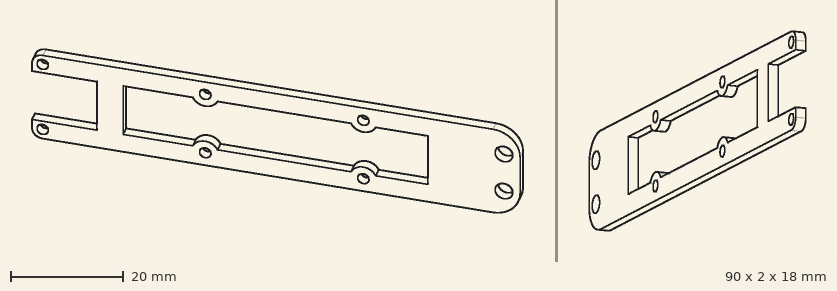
import cadquery as cq

length = 90.0
thickness = 2.0
height = 18.0
half_length = length / 2
half_height = height / 2

fork_corner_radius = 2.0
end_corner_radius = 5.0

rail_width = 3.8
opening_height = height - 2 * rail_width
fork_depth = 12.0
bridge_width = 4.9
window_length = 56.2
window_start = -half_length + fork_depth + bridge_width

small_hole_diameter = 2.1
fork_hole_inset = 2.0
boss_radius = 2.5
boss_hole_inset = 2.7
boss_xs = (-13.05, 16.1)
end_hole_diameter = 3.2
end_hole_inset = 3.0
end_hole_x = half_length - end_hole_inset
end_hole_spacing = 8.0


def prism(sketch_plane):
    """Extrude an outline symmetrically through the plate thickness."""
    return sketch_plane.extrude(thickness / 2, both=True)


def opening(start_x, opening_length):
    """Rectangular cutter centred on the plate's long axis."""
    center_x = start_x + opening_length / 2
    return prism(cq.Workplane("XZ").center(center_x, 0).rect(opening_length, opening_height))


def discs(points, diameter):
    """Round prisms through the plate at the given (x, z) points."""
    return prism(cq.Workplane("XZ").pushPoints(points).circle(diameter / 2))


def mirrored_pairs(xs, z):
    """Points at each x, above and below the long axis."""
    return [(x, side * z) for x in xs for side in (-1, 1)]


plate = prism(cq.Workplane("XZ").rect(length, height))
plate = plate.edges("|Y and <X").fillet(fork_corner_radius)
plate = plate.edges("|Y and >X").fillet(end_corner_radius)

plate = plate.cut(opening(-half_length, fork_depth))
plate = plate.cut(opening(window_start, window_length))

boss_points = mirrored_pairs(boss_xs, half_height - boss_hole_inset)
plate = plate.union(discs(boss_points, 2 * boss_radius))

fork_points = mirrored_pairs([-half_length + fork_hole_inset], half_height - fork_hole_inset)
end_points = mirrored_pairs([end_hole_x], end_hole_spacing / 2)
plate = plate.cut(discs(boss_points + fork_points, small_hole_diameter))
plate = plate.cut(discs(end_points, end_hole_diameter))

result = plate